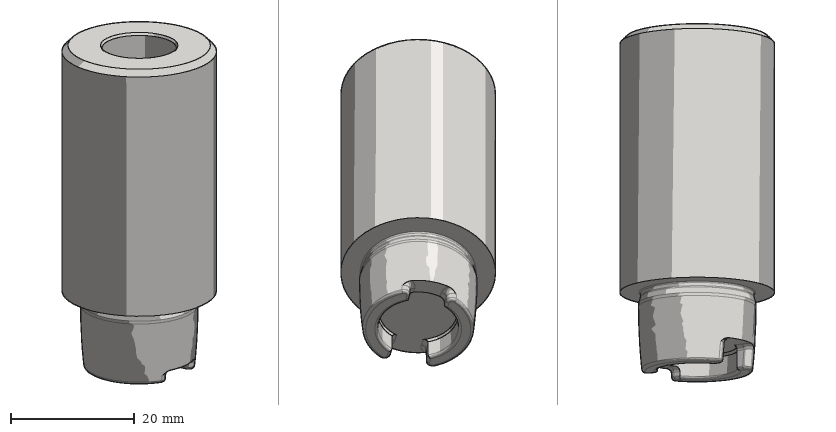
import cadquery as cq

body_diameter = 25.0
total_height = 55.0
tip_height = 13.0
rim_bevel = 1.0

bore_diameter = 12.0
bore_depth = total_height - tip_height
bore_mouth_width = 0.25
bore_mouth_depth = 0.43

neck_diameter = 18.4
neck_bottom = 12.17
neck_root_radius = 0.2
neck_blend_radius = 0.75
land_diameter = 19.0
land_top = 11.1
land_bottom = 10.6
barrel_radius = 100.0
tip_edge_radius = 0.5

cavity_diameter = 13.0
cavity_depth = 4.0
cavity_roof_bevel_height = 0.5
cavity_roof_bevel_width = 0.2

notch_width = 6.0
notch_inner_x = 4.5
notch_mouth_radius = 1.0
notch_corner_radius = 0.8
left_notch_height = cavity_depth
right_notch_height = 2.0

axis_start = (0, 0, 0)
axis_end = (0, 1, 0)
pick_slack = 0.01


def barrel_surface_radius(z):
    """Radius of the barrel, an arc that starts tangent to the land."""
    drop = land_bottom - z
    return land_diameter / 2 - barrel_radius + (barrel_radius**2 - drop**2) ** 0.5


def ring_selector(radius, z):
    """Box that catches horizontal edges at height z lying around the part's axis."""
    return cq.selectors.BoxSelector((-radius, -radius, z - pick_slack), (radius, radius, z + pick_slack))


def make_tip():
    middle_z = land_bottom / 2
    tip = (
        cq.Workplane("XZ")
        .lineTo(barrel_surface_radius(0), 0)
        .threePointArc((barrel_surface_radius(middle_z), middle_z), (land_diameter / 2, land_bottom))
        .lineTo(land_diameter / 2, land_top)
        .lineTo(neck_diameter / 2, neck_bottom)
        .lineTo(neck_diameter / 2, tip_height)
        .lineTo(0, tip_height)
        .close()
        .revolve(360, axis_start, axis_end)
    )
    return tip.edges(ring_selector(neck_diameter, neck_bottom)).fillet(neck_blend_radius)


def add_body(tip):
    body = cq.Workplane("XY", origin=(0, 0, tip_height))
    body = body.circle(body_diameter / 2).extrude(total_height - tip_height)
    body = body.faces(">Z").edges().chamfer(rim_bevel)
    part = tip.union(body)
    joint_edges = part.edges(ring_selector(body_diameter, tip_height))
    neck_root = joint_edges.edges(cq.selectors.RadiusNthSelector(0))
    return neck_root.fillet(neck_root_radius)


def make_bore():
    radius = bore_diameter / 2
    floor_z = total_height - bore_depth
    return (
        cq.Workplane("XZ")
        .moveTo(0, floor_z)
        .lineTo(radius, floor_z)
        .lineTo(radius, total_height - bore_mouth_depth)
        .lineTo(radius + bore_mouth_width, total_height)
        .lineTo(0, total_height)
        .close()
        .revolve(360, axis_start, axis_end)
    )


def make_cavity():
    cavity = cq.Workplane("XY").circle(cavity_diameter / 2).extrude(cavity_depth)
    return cavity.faces(">Z").edges().chamfer(cavity_roof_bevel_height, cavity_roof_bevel_width)


def cut_notch(part, side, height):
    """Cut a notch with a flared mouth and rounded ceiling corners; side is -1 or +1 along X."""
    half_width = notch_width / 2
    slot = cq.Workplane("XY").box(land_diameter, notch_width, height, centered=(True, True, False))
    part = part.cut(slot.translate((side * (notch_inner_x + land_diameter / 2), 0, 0)))

    mouth_edges = cq.selectors.BoxSelector(
        (side * cavity_diameter / 2, -half_width - pick_slack, pick_slack),
        (side * land_diameter / 2, half_width + pick_slack, height - pick_slack),
    )
    part = part.edges(mouth_edges).fillet(notch_mouth_radius)

    for y_side in (-1, 1):
        ceiling_edge = cq.selectors.BoxSelector(
            (side * notch_inner_x, y_side * (half_width - pick_slack), height - pick_slack),
            (side * cavity_diameter / 2, y_side * (half_width + pick_slack), height + pick_slack),
        )
        part = part.edges(ceiling_edge).fillet(notch_corner_radius)
    return part


part = add_body(make_tip())
part = cut_notch(part, -1, left_notch_height)
part = cut_notch(part, 1, right_notch_height)
part = part.cut(make_cavity())
part = part.faces("<Z").edges().fillet(tip_edge_radius)
result = part.cut(make_bore())